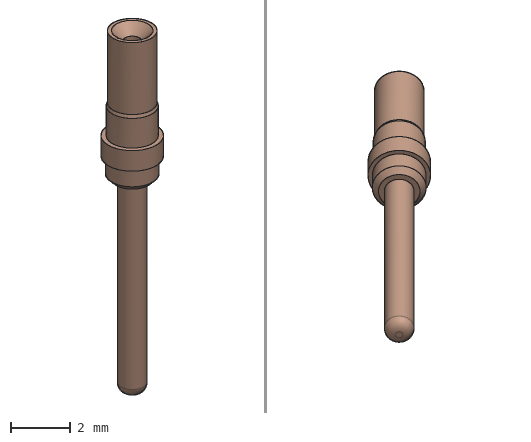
import cadquery as cq

length = 14.0

pin_radius = 0.5
collar_radius = 0.91
flange_radius = 1.057
sleeve_radius = 0.88
barrel_radius = 0.84

pin_length = 8.25
collar_height = 0.9
flange_height = 0.8
sleeve_height = 1.27

tip_fillet = 0.38
collar_chamfer = 0.21
sleeve_taper_height = 0.13

socket_mouth_radius = 0.7
socket_bore_radius = 0.31
funnel_depth = 0.39
socket_depth = 3.92

inspection_radius = 0.28
inspection_height = 10.47
inspection_angle = 135.0

collar_top = pin_length + collar_height
flange_top = collar_top + flange_height
sleeve_top = flange_top + sleeve_height


def turned_body():
    """Solid of revolution, stepped from the pin up to the barrel."""
    profile = (
        cq.Workplane("XZ")
        .lineTo(pin_radius, 0)
        .lineTo(pin_radius, pin_length)
        .lineTo(collar_radius - collar_chamfer, pin_length)
        .lineTo(collar_radius, pin_length + collar_chamfer)
        .lineTo(collar_radius, collar_top)
        .lineTo(flange_radius, collar_top)
        .lineTo(flange_radius, flange_top)
        .lineTo(sleeve_radius, flange_top)
        .lineTo(sleeve_radius, sleeve_top - sleeve_taper_height)
        .lineTo(barrel_radius, sleeve_top)
        .lineTo(barrel_radius, length)
        .lineTo(0, length)
        .close()
    )
    body = profile.revolve(360, (0, 0, 0), (0, 1, 0))
    return body.faces("<Z").edges().fillet(tip_fillet)


def wire_socket():
    """Flat-bottomed bore with a funnel mouth."""
    profile = (
        cq.Workplane("XZ")
        .moveTo(0, length - socket_depth)
        .lineTo(socket_bore_radius, length - socket_depth)
        .lineTo(socket_bore_radius, length - funnel_depth)
        .lineTo(socket_mouth_radius, length)
        .lineTo(0, length)
        .close()
    )
    return profile.revolve(360, (0, 0, 0), (0, 1, 0))


def inspection_hole():
    """Radial hole running from the socket axis out through one wall."""
    return (
        cq.Workplane("YZ")
        .center(0, inspection_height)
        .circle(inspection_radius)
        .extrude(flange_radius)
        .rotate((0, 0, 0), (0, 0, 1), inspection_angle)
    )


result = turned_body().cut(wire_socket()).cut(inspection_hole())